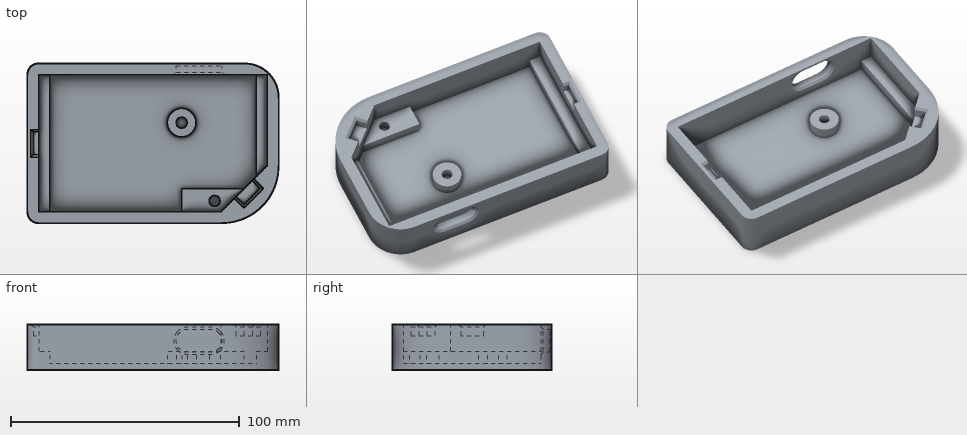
import cadquery as cq

LENGTH = 110.0
WIDTH = 70.0
HEIGHT = 20.0
WALL = 5.0
FLOOR = 3.0
SMALL_RADIUS = 5.0
MEDIUM_RADIUS = 15.0
LARGE_RADIUS = 25.0
CORNER_CUT = 20.5

SUPPORT_TOP = 8.2
SUPPORT_HEIGHT = SUPPORT_TOP - FLOOR
LEDGE_WIDTH = 5.0
SCREW_HOLE_DIAMETER = 4.7
BOSS_DIAMETER = 12.5
BOSS_X = 67.5
BOSS_Y = 44.0
PAD_START_X = BOSS_X
PAD_WIDTH = 10.1
PAD_HOLE_X = 82.0
PAD_HOLE_Y = 9.8

BEVEL = 1.0
BEVEL_ANGLE = 45
NOTCH_LENGTH = 10.0
NOTCH_DEPTH = 5.0
SIDE_NOTCH_REACH = 2.4
CORNER_NOTCH_REACH = 5.0
SLOT_LENGTH = 20.0
SLOT_DIAMETER = 10.0
SLOT_X = 75.0
SLOT_Z = 13.0

CAVITY_X_MAX = LENGTH - WALL
CAVITY_Y_MAX = WIDTH - WALL


def outer_body():
    """Solid block with one rounding radius per group of vertical edges."""
    body = cq.Workplane("XY").box(LENGTH, WIDTH, HEIGHT, centered=False)
    body = body.edges("|Z and <X").fillet(SMALL_RADIUS)
    body = body.edges("|Z and >X and >Y").fillet(MEDIUM_RADIUS)
    return body.edges("|Z and >X and <Y").fillet(LARGE_RADIUS)


def cavity_prism(height):
    """Prism over the cavity outline, standing on the floor."""
    return (
        cq.Workplane("XY", origin=(0, 0, FLOOR))
        .moveTo(WALL, WALL)
        .lineTo(CAVITY_X_MAX - CORNER_CUT, WALL)
        .lineTo(CAVITY_X_MAX, WALL + CORNER_CUT)
        .lineTo(CAVITY_X_MAX, CAVITY_Y_MAX)
        .lineTo(WALL, CAVITY_Y_MAX)
        .close()
        .extrude(height)
    )


def floor_block(x_start, x_end, y_end):
    """Block on the floor, from the inside of the -Y wall up to y_end."""
    return (
        cq.Workplane("XY", origin=(x_start, WALL, FLOOR))
        .box(x_end - x_start, y_end - WALL, SUPPORT_HEIGHT, centered=False)
    )


def floor_cylinder(x, y, diameter):
    """Cylinder from the floor to the support level."""
    return cq.Workplane("XY", origin=(x, y, FLOOR)).circle(diameter / 2).extrude(SUPPORT_HEIGHT)


def supports():
    """Two end ledges, the screw pad and the screw boss, trimmed to the cavity."""
    left_ledge = floor_block(WALL, WALL + LEDGE_WIDTH, CAVITY_Y_MAX)
    right_ledge = floor_block(CAVITY_X_MAX - LEDGE_WIDTH, CAVITY_X_MAX, CAVITY_Y_MAX)
    pad = floor_block(PAD_START_X, CAVITY_X_MAX - LEDGE_WIDTH, WALL + PAD_WIDTH)
    boss = floor_cylinder(BOSS_X, BOSS_Y, BOSS_DIAMETER)
    group = left_ledge.union(right_ledge).union(pad).union(boss)
    group = group.intersect(cavity_prism(SUPPORT_HEIGHT))
    for x, y in ((BOSS_X, BOSS_Y), (PAD_HOLE_X, PAD_HOLE_Y)):
        group = group.cut(floor_cylinder(x, y, SCREW_HOLE_DIAMETER))
    return group


def rim_notch(reach, angle, x, y):
    """Cutter for a notch open to the rim and the cavity, bevelled on its three rim edges.

    It cuts into the wall along the direction given by angle, starting at (x, y).
    """
    rim = cq.Workplane("XY", origin=(0, 0, HEIGHT))
    pocket = rim.rect(2 * reach, NOTCH_LENGTH).extrude(-NOTCH_DEPTH)
    flare = (
        rim.rect(2 * (reach + BEVEL), NOTCH_LENGTH + 2 * BEVEL)
        .workplane(offset=-BEVEL)
        .rect(2 * reach, NOTCH_LENGTH)
        .loft(ruled=True)
    )
    wall_side = rim.center(LENGTH / 2, 0).rect(LENGTH, LENGTH).extrude(-NOTCH_DEPTH)
    cutter = pocket.union(flare).intersect(wall_side)
    return cutter.rotate((0, 0, 0), (0, 0, 1), angle).translate((x, y, 0))


def slot_profile(y, growth):
    """Obround outline on the plane at y, grown outward all round."""
    plane = cq.Workplane("XZ", origin=(SLOT_X, y, SLOT_Z))
    return plane.slot2D(SLOT_LENGTH + 2 * growth, SLOT_DIAMETER + 2 * growth)


def wall_slot():
    """Cutter for the obround opening through the +Y wall, bevelled on both faces."""
    cutter = slot_profile(WIDTH, 0).extrude(WALL)
    inner_flare = slot_profile(CAVITY_Y_MAX, BEVEL).extrude(-BEVEL, taper=BEVEL_ANGLE)
    outer_flare = slot_profile(WIDTH, BEVEL).extrude(BEVEL, taper=BEVEL_ANGLE)
    return cutter.union(inner_flare).union(outer_flare)


result = outer_body().cut(cavity_prism(HEIGHT - FLOOR)).union(supports())
result = result.cut(rim_notch(SIDE_NOTCH_REACH, 180, WALL, WIDTH / 2))
result = result.cut(
    rim_notch(CORNER_NOTCH_REACH, -45, CAVITY_X_MAX - CORNER_CUT / 2, WALL + CORNER_CUT / 2)
)
result = result.cut(wall_slot())